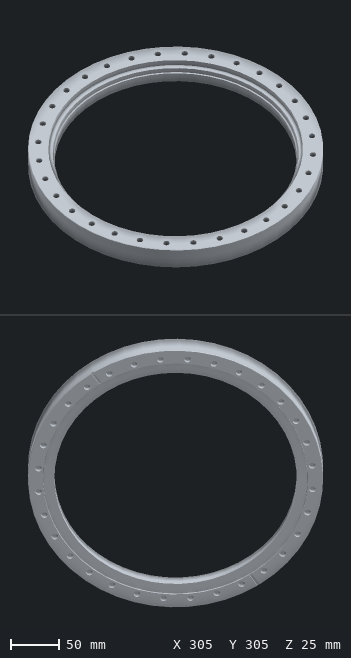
import cadquery as cq

outer_diameter = 305.0
height = 25.0
edge_chamfer = 0.45

neck_diameter = 263.2
insert_flange_diameter = 273.0
counterbore_diameter = 274.0
insert_recess = 6.7
insert_top = height - insert_recess
insert_bottom = 1.2

upper_bore_diameter = 254.0
lower_bore_diameter = 250.5
upper_bore_depth = 5.8
bore_chamfer = 0.3
ledge_level = insert_top - upper_bore_depth
flange_top = ledge_level

bolt_count = 32
bolt_circle_diameter = 284.3
bolt_hole_diameter = 6.7
bolt_pitch_angle = 360 / bolt_count

groove_width = 3.0
groove_depth = 1.2


def disc(diameter, bottom, top):
    """Solid cylinder on the Z axis between two levels."""
    return cq.Workplane("XY").workplane(offset=bottom).circle(diameter / 2).extrude(top - bottom)


def bottom_groove():
    """Straight bar that cuts the leak-check groove on both sides of the ring."""
    return cq.Workplane("XY").box(
        outer_diameter, groove_width, groove_depth, centered=(True, True, False)
    )


def bolt_holes():
    """Through holes, with the X and Y axes midway between neighbouring holes."""
    return (
        cq.Workplane("XY")
        .polarArray(bolt_circle_diameter / 2, bolt_pitch_angle / 2, 360, bolt_count)
        .circle(bolt_hole_diameter / 2)
        .extrude(height)
    )


def make_outer_ring():
    """Bolted ring with a counterbore underneath for the insert flange."""
    body = disc(outer_diameter, 0, height).edges().chamfer(edge_chamfer)
    body = body.cut(disc(neck_diameter, 0, height))
    body = body.cut(disc(counterbore_diameter, 0, flange_top))
    return body.cut(bolt_holes()).cut(bottom_groove())


def make_insert():
    """Flanged insert whose neck fills the ring bore up to the recess."""
    body = disc(insert_flange_diameter, insert_bottom, flange_top)
    body = body.union(disc(neck_diameter, flange_top, insert_top))
    body = body.cut(disc(lower_bore_diameter, insert_bottom, insert_top))
    body = body.cut(disc(upper_bore_diameter, ledge_level, insert_top))
    bore_rim = body.faces(">Z").edges(cq.selectors.RadiusNthSelector(0))
    return bore_rim.chamfer(bore_chamfer)


outer_ring = make_outer_ring()
insert = make_insert()

result = cq.Compound.makeCompound([outer_ring.val(), insert.val()])